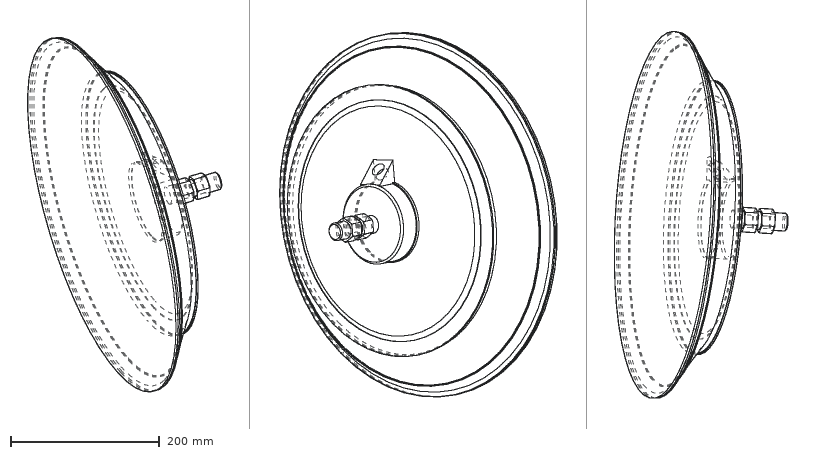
import cadquery as cq

rim_radius = 247.0
rim_step = 0.5
rim_lower_height = 3.5
rim_height = 6.0
skirt_foot_radius = 240.0
bead_radius = 230.5
bead_recess = 1.5
bead_bottom = 15.5
bead_top = 17.0
band_radius = 366.0 / 2
band_bottom = 51.0
band_top = 58.0
lip_radius = 369.0 / 2
lip_top = 60.0
cover_foot_radius = 164.0
cover_foot_top = 61.0
cover_shoulder_radius = 317.0 / 2
cover_shoulder_height = 63.0
cover_top_radius = 156.0
cover_top = 64.0

hub_radius = 54.5
hub_top = 97.0
hub_chamfer = 3.0
hub_flange_radius = 56.0
hub_flange_top = 68.0
port_width = 35.0
port_reach = 83.0
port_top = hub_top - hub_chamfer
port_root = port_reach - (port_top - cover_top)
port_hole_diameter = 19.0
port_hole_depth = 11.0
port_hole_height = 75.5

stem_diameter = 24.0
stem_top = 172.0
stem_chamfer = 2.0
nut_corner_diameter = 33.5
nut_height = 18.5
nut_chamfer = 1.0
nut_bottoms = (110.5, 134.5)

port_turn = 6.0


def cylinder(radius, bottom, top):
    """Cylinder along Y between two heights."""
    return cq.Workplane("XZ", origin=(0, bottom, 0)).circle(radius).extrude(bottom - top)


def make_disc():
    """Solid skirt, band, lip and cover, revolved about Y."""
    outline = [
        (0, 0),
        (rim_radius, 0),
        (rim_radius, rim_lower_height),
        (rim_radius - rim_step, rim_lower_height),
        (rim_radius - rim_step, rim_height),
        (skirt_foot_radius, rim_height),
        (bead_radius - bead_recess, bead_bottom),
        (bead_radius, bead_bottom),
        (bead_radius, bead_top),
        (bead_radius - bead_recess, bead_top),
        (band_radius, band_bottom),
        (band_radius, band_top),
        (lip_radius, band_top),
        (lip_radius, lip_top),
        (cover_foot_radius, lip_top),
        (cover_foot_radius, cover_foot_top),
        (cover_shoulder_radius, cover_shoulder_height),
        (cover_top_radius, cover_top),
        (0, cover_top),
    ]
    return cq.Workplane("XY").polyline(outline).close().revolve(360, (0, 0, 0), (0, 1, 0))


def make_hub():
    """Chamfered round hub on a thin flange."""
    hub = cylinder(hub_radius, cover_foot_top, hub_top).faces(">Y").chamfer(hub_chamfer)
    return hub.union(cylinder(hub_flange_radius, cover_foot_top, hub_flange_top))


def port_outline():
    """Side profile of the port block in the YZ plane, pointing to +Z."""
    return [(cover_foot_top, 0), (port_top, 0), (port_top, port_root),
            (cover_top, port_reach), (cover_foot_top, port_reach)]


def make_port():
    """Wedge block beside the hub."""
    block = cq.Workplane("YZ").polyline(port_outline()).close().extrude(port_width / 2, both=True)
    return block.rotate((0, 0, 0), (0, 1, 0), port_turn)


def make_port_hole():
    """Shallow blind hole square to the port slope."""
    outward = cq.Vector(0, 1, 1).normalized()
    mouth = cq.Vector(0, port_hole_height, port_reach + cover_top - port_hole_height)
    floor = mouth - outward * port_hole_depth
    hole = cq.Solid.makeCylinder(port_hole_diameter / 2, 2 * port_hole_depth, floor, outward)
    return cq.Workplane(hole).rotate((0, 0, 0), (0, 1, 0), port_turn)


def make_stem():
    """Round stem with a chamfered tip."""
    stem = cylinder(stem_diameter / 2, hub_top - hub_chamfer, stem_top)
    return stem.faces(">Y").chamfer(stem_chamfer)


def make_nut(bottom):
    """Hexagon nut with its corners chamfered at both ends."""
    nut = cq.Workplane("XZ", origin=(0, bottom, 0)).polygon(6, nut_corner_diameter).extrude(-nut_height)
    corner_limit = cylinder(nut_corner_diameter / 2, bottom, bottom + nut_height)
    corner_limit = corner_limit.faces("<Y or >Y").chamfer(nut_chamfer)
    return nut.intersect(corner_limit).rotate((0, 0, 0), (0, 1, 0), 90 + port_turn)


result = make_disc().union(make_hub()).union(make_port()).cut(make_port_hole()).union(make_stem())
for nut_bottom in nut_bottoms:
    result = result.union(make_nut(nut_bottom))